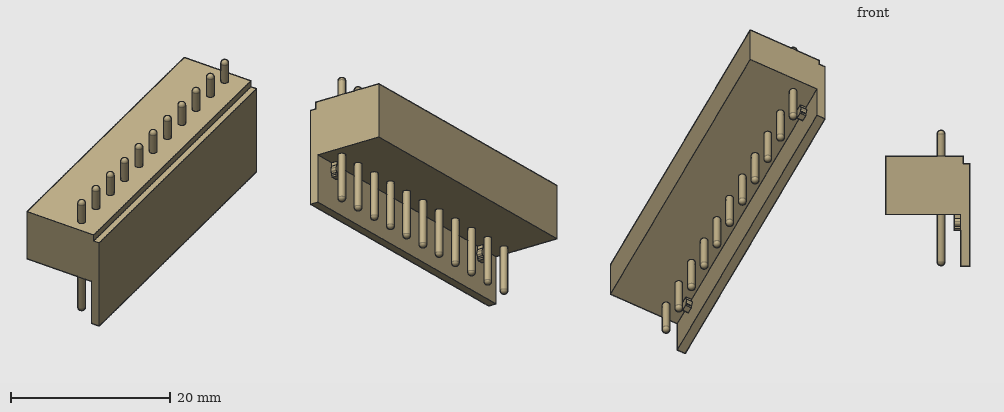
import cadquery as cq
import math

length = 38.5
depth = 10.6
body_bottom = 6.5
body_top = 13.85

wall_thickness = 1.15
step_width = 0.8
step_height = 0.92

pin_count = 11
pin_pitch = length / pin_count
pin_radius = 0.5
pin_x = 6.95
pin_bottom = 0.08
pin_top = 17.15

rib_depth = 0.8
rib_end_offset = pin_pitch
rib_neck_half = 0.5
rib_shoulder_half = 0.65
rib_bulge_half = 0.7
rib_tip_half = 0.42
rib_neck_drop = 0.45
rib_bulge_start = 0.85
rib_bulge_end = 1.27
rib_shank_start = 1.5
rib_shank_end = 1.75
rib_height = 1.95

wall_face_x = depth - wall_thickness


def make_housing():
    """L-shaped profile extruded along Y."""
    return (
        cq.Workplane("XZ")
        .moveTo(0, body_bottom)
        .lineTo(wall_face_x, body_bottom)
        .lineTo(wall_face_x, 0)
        .lineTo(depth, 0)
        .lineTo(depth, body_top - step_height)
        .lineTo(depth - step_width, body_top - step_height)
        .lineTo(depth - step_width, body_top)
        .lineTo(0, body_top)
        .close()
        .extrude(-length)
    )


def make_pin(y):
    """Round pin with hemispherical tips, passing through the body."""
    dome_offset = pin_radius * math.sqrt(0.5)
    dome_rise = pin_radius - dome_offset
    return (
        cq.Workplane("YZ", origin=(pin_x, y, 0))
        .moveTo(0, pin_bottom)
        .threePointArc((-dome_offset, pin_bottom + dome_rise), (-pin_radius, pin_bottom + pin_radius))
        .lineTo(-pin_radius, pin_top - pin_radius)
        .threePointArc((-dome_offset, pin_top - dome_rise), (0, pin_top))
        .close()
        .revolve(360, (0, 0, 0), (0, 1, 0))
    )


def make_rib(y):
    """Rib below the body, standing out from the wall, with rounded bulges on both sides."""
    bulge_middle = (rib_bulge_start + rib_bulge_end) / 2
    half = (
        cq.Workplane("YZ", origin=(wall_face_x - rib_depth, 0, body_bottom))
        .moveTo(rib_neck_half, 0)
        .lineTo(rib_neck_half, -rib_neck_drop)
        .lineTo(rib_shoulder_half, -rib_bulge_start)
        .threePointArc((rib_bulge_half, -bulge_middle), (rib_shoulder_half, -rib_bulge_end))
        .lineTo(rib_neck_half, -rib_shank_start)
        .lineTo(rib_neck_half, -rib_shank_end)
        .lineTo(rib_tip_half, -rib_height)
        .lineTo(0, -rib_height)
        .lineTo(0, 0)
        .close()
        .extrude(rib_depth)
    )
    return half.union(half.mirror("XZ")).clean().translate((0, y, 0))


result = make_housing()
for index in range(pin_count):
    result = result.union(make_pin((index + 0.5) * pin_pitch))
for rib_y in (rib_end_offset, length - rib_end_offset):
    result = result.union(make_rib(rib_y))